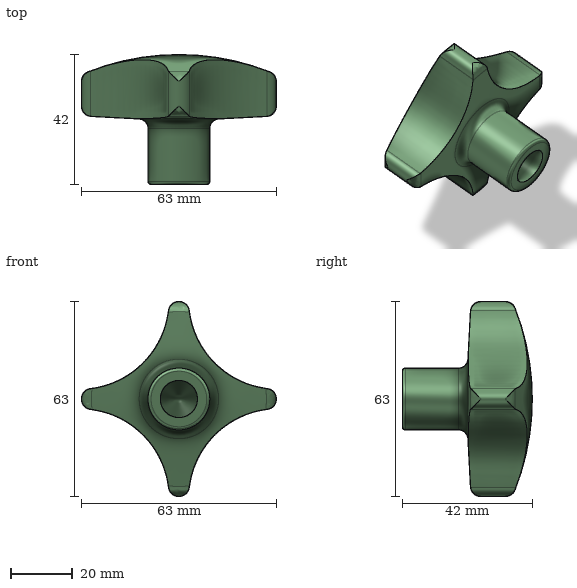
import cadquery as cq
import math


grip_diameter = 63.0
total_height = 42.0
hub_length = 21.0
dome_radius = 80.0
underside_slope = math.radians(3.0)
rim_fillet = 3.4

lobe_count = 4
lobe_tip_radius = 3.4
waist_radius = 16.4

hub_diameter = 20.0
hub_root_fillet = 3.0
hub_end_fillet = 1.0
bore_diameter = 12.0
bore_depth = 25.0
drill_point_angle = math.radians(118.0)

grip_radius = grip_diameter / 2
hub_radius = hub_diameter / 2
bore_radius = bore_diameter / 2


def dome_height(radius):
    """Y of the spherical top at a given distance from the axis."""
    return total_height - dome_radius + math.sqrt(dome_radius**2 - radius**2)


def underside_height(radius):
    """Y of the conical underside at a given distance from the axis."""
    return hub_length + (radius - hub_radius) * math.tan(underside_slope)


def revolve_about_y(profile):
    return profile.close().revolve(360, (0, 0, 0), (0, 1, 0))


def make_turned_head():
    """Disc with a domed top, a conical underside and a rounded rim."""
    profile = (
        cq.Workplane("XY")
        .moveTo(0, hub_length)
        .lineTo(hub_radius, hub_length)
        .lineTo(grip_radius, underside_height(grip_radius))
        .lineTo(grip_radius, dome_height(grip_radius))
        .threePointArc((hub_radius, dome_height(hub_radius)), (0, total_height))
    )
    head = revolve_about_y(profile)
    rim = cq.selectors.RadiusNthSelector(-2)
    return head.edges("%CIRCLE").edges(rim).fillet(rim_fillet)


def make_star_prism():
    """Star outline: round lobe tips joined by tangent concave arcs."""
    tip_center = grip_radius - lobe_tip_radius
    half_pitch = math.pi / lobe_count
    reach = waist_radius - lobe_tip_radius
    hollow_center = (tip_center**2 - reach**2) / (2 * (tip_center * math.cos(half_pitch) - reach))
    hollow_radius = hollow_center - waist_radius

    center_x = hollow_center * math.cos(half_pitch)
    center_y = hollow_center * math.sin(half_pitch)
    tip_share = lobe_tip_radius / (lobe_tip_radius + hollow_radius)
    tangent_x = tip_center + tip_share * (center_x - tip_center)
    tangent_y = tip_share * center_y
    tangent_distance = math.hypot(tangent_x, tangent_y)
    tangent_angle = math.atan2(tangent_y, tangent_x)

    def polar(distance, angle):
        return (distance * math.cos(angle), distance * math.sin(angle))

    outline = cq.Workplane("XZ").moveTo(*polar(tangent_distance, -tangent_angle))
    for lobe in range(lobe_count):
        angle = lobe * 2 * half_pitch
        next_angle = angle + 2 * half_pitch
        outline = outline.threePointArc(
            polar(grip_radius, angle),
            polar(tangent_distance, angle + tangent_angle),
        )
        outline = outline.threePointArc(
            polar(waist_radius, angle + half_pitch),
            polar(tangent_distance, next_angle - tangent_angle),
        )
    return outline.close().extrude(-total_height)


def make_hub():
    """Cylinder with a rounded end and a fillet flaring tangentially into the underside."""
    fillet_center_x = hub_radius + hub_root_fillet
    drop = hub_root_fillet / math.cos(underside_slope)
    fillet_center_y = underside_height(fillet_center_x) - drop
    flare_x = fillet_center_x - hub_root_fillet * math.sin(underside_slope)
    mid_angle = (math.pi + math.pi / 2 + underside_slope) / 2
    flare_mid = (
        fillet_center_x + hub_root_fillet * math.cos(mid_angle),
        fillet_center_y + hub_root_fillet * math.sin(mid_angle),
    )
    end_mid_inset = hub_end_fillet * (1 - math.sqrt(0.5))
    flat_radius = hub_radius - hub_end_fillet
    profile = (
        cq.Workplane("XY")
        .lineTo(flat_radius, 0)
        .threePointArc((hub_radius - end_mid_inset, end_mid_inset), (hub_radius, hub_end_fillet))
        .lineTo(hub_radius, fillet_center_y)
        .threePointArc(flare_mid, (flare_x, underside_height(flare_x)))
        .lineTo(hub_radius, hub_length)
        .lineTo(0, hub_length)
    )
    return revolve_about_y(profile)


def make_bore():
    """Blind hole with a conical drill point."""
    point_depth = bore_radius / math.tan(drill_point_angle / 2)
    profile = (
        cq.Workplane("XY")
        .lineTo(bore_radius, 0)
        .lineTo(bore_radius, bore_depth)
        .lineTo(0, bore_depth + point_depth)
    )
    return revolve_about_y(profile)


seam_angle = 180 / lobe_count
head = make_turned_head().rotate((0, 0, 0), (0, 1, 0), seam_angle)
head = head.intersect(make_star_prism())
result = head.union(make_hub()).cut(make_bore())